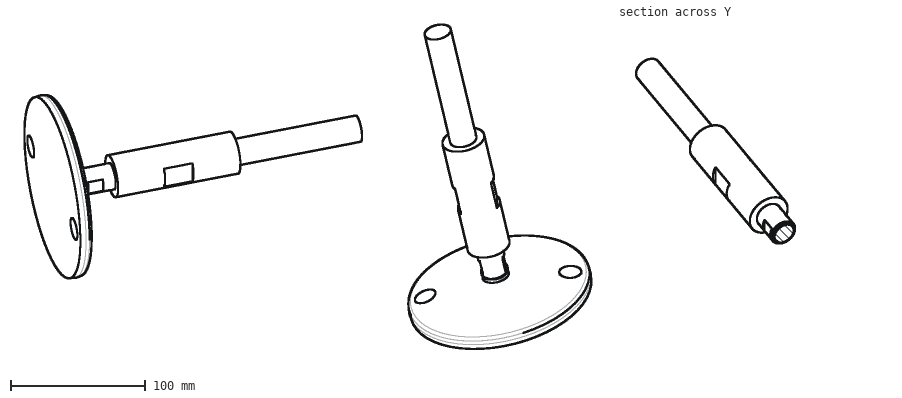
import cadquery as cq
import math


total_length = 238.0

plate_diameter = 138.0
base_diameter = 137.0
shoulder_diameter = 137.0
rim_widest_y = 4.3
shoulder_y = 7.1
cone_angle = 10.0
cone_top_diameter = 20.0
cone_top_y = 19.5
shoulder_fillet = 2.4
collar_top_diameter = 18.0
collar_top_y = 21.7

hole_diameter = 16.5
hole_offset = 52.8
hole_drill_length = 71.5

spindle_diameter = 20.0
neck_diameter = 16.5
spindle_shoulder_y = 23.0
spindle_flat_width = 17.0
spindle_flat_start = 25.0
spindle_flat_length = 11.7

sleeve_diameter = 32.0
sleeve_start = 46.2
sleeve_length = 95.2
sleeve_flat_width = 27.1
sleeve_flat_length = 22.1
sleeve_flat_start = sleeve_start + (sleeve_length - sleeve_flat_length) / 2


def cylinder(diameter, start, end):
    """Cylinder along Y between two positions."""
    return cq.Workplane("XZ", origin=(0, start, 0)).circle(diameter / 2).extrude(start - end)


def cut_flats(body, diameter, width, start, length):
    """Cut a pair of opposite wrench flats, facing -X and +X, a given width apart."""
    depth = (diameter - width) / 2
    for side in (-1, 1):
        cutter = cq.Workplane("XY").box(2 * depth, length, diameter)
        body = body.cut(cutter.translate((side * (width / 2 + depth), start + length / 2, 0)))
    return body


def make_foot_plate():
    rim_radius = shoulder_diameter / 2
    cone_radius = cone_top_diameter / 2
    cone_edge_y = cone_top_y - (rim_radius - cone_radius) * math.tan(math.radians(cone_angle))
    plate = (
        cq.Workplane("XY")
        .moveTo(0, 0)
        .lineTo(base_diameter / 2, 0)
        .lineTo(plate_diameter / 2, rim_widest_y)
        .lineTo(rim_radius, shoulder_y)
        .lineTo(rim_radius, cone_edge_y)
        .lineTo(cone_radius, cone_top_y)
        .lineTo(collar_top_diameter / 2, collar_top_y)
        .lineTo(0, collar_top_y)
        .close()
        .revolve(360, (0, 0, 0), (0, 1, 0))
    )
    edge_finder = cq.selectors.BoxSelector(
        (-plate_diameter, cone_edge_y - 0.2, -plate_diameter),
        (plate_diameter, cone_edge_y + 0.2, plate_diameter),
        boundingbox=True,
    )
    plate = plate.edges(edge_finder).fillet(shoulder_fillet)

    tilt = math.radians(cone_angle)
    for side in (-1, 1):
        axis = cq.Vector(side * math.sin(tilt), math.cos(tilt), 0)
        centre = cq.Vector(side * hole_offset, 0, 0)
        drill = cq.Solid.makeCylinder(
            hole_diameter / 2, hole_drill_length, centre - axis * (hole_drill_length / 2), axis
        )
        plate = plate.cut(cq.Workplane(drill))
    return plate


def make_spindle():
    neck = cylinder(neck_diameter, collar_top_y, spindle_shoulder_y)
    rod = cylinder(spindle_diameter, spindle_shoulder_y, total_length)
    return cut_flats(
        neck.union(rod), spindle_diameter, spindle_flat_width, spindle_flat_start, spindle_flat_length
    )


def make_sleeve():
    sleeve_end = sleeve_start + sleeve_length
    outer = cylinder(sleeve_diameter, sleeve_start, sleeve_end)
    bore = cylinder(spindle_diameter, sleeve_start, sleeve_end)
    return cut_flats(
        outer.cut(bore), sleeve_diameter, sleeve_flat_width, sleeve_flat_start, sleeve_flat_length
    )


foot_plate = make_foot_plate()
spindle = make_spindle()
sleeve = make_sleeve()

result = cq.Compound.makeCompound([foot_plate.val(), spindle.val(), sleeve.val()])